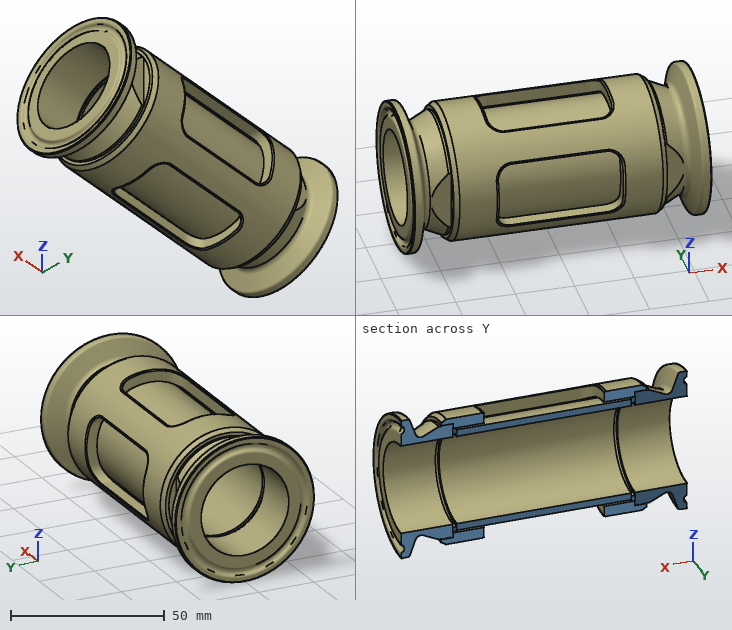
import cadquery as cq
import math


total_length = 100.0
bore_radius = 15.9

flange_diameter = 50.5
rim_rounding = 1.0
face_edge_chamfer = 0.3
back_cone_angle = 20.0
neck_position = 7.1
neck_radius = 18.0
neck_rounding = 2.0
flare_angle = 25.0
flare_rounding = 1.5
hub_radius = 20.7
ferrule_length = 18.2

groove_radius = 21.7
groove_arc_radius = 1.3
groove_depth = 1.2
groove_edge_rounding = 0.8

housing_radius = 23.0
housing_position = 14.1
housing_bore_radius = 19.0
end_chamfer_length = 1.7
end_chamfer_depth = 1.1
window_length = 41.8
window_width = 23.2
window_corner_radius = 4.8
window_chamfer_width = 0.7
window_chamfer_depth = 0.3
window_count = 4

seal_thickness = 1.3
seal_bore_radius = 17.0
glass_radius = 18.5

half_length = total_length / 2
flange_radius = flange_diameter / 2
housing_half_length = half_length - housing_position
socket_floor = half_length - ferrule_length
glass_half_length = socket_floor - seal_thickness


def tube(start, length, outer_radius, inner_radius):
    """Plain ring along X, starting at x = start."""
    return cq.Workplane("YZ", origin=(start, 0, 0)).circle(outer_radius).circle(inner_radius).extrude(length)


def revolve_around_x(profile):
    """Solid of revolution from a closed outline in the XZ plane, drawn as (x, radius)."""
    return profile.revolve(360, (0, 0, 0), (1, 0, 0))


def make_housing_blank():
    """Chamfered sleeve whose bore widens at both ends into sockets for the ferrule hubs."""
    chamfer_end = housing_half_length - end_chamfer_length
    face_radius = housing_radius - end_chamfer_depth
    profile = (
        cq.Workplane("XZ")
        .moveTo(-housing_half_length, hub_radius)
        .lineTo(-housing_half_length, face_radius)
        .lineTo(-chamfer_end, housing_radius)
        .lineTo(chamfer_end, housing_radius)
        .lineTo(housing_half_length, face_radius)
        .lineTo(housing_half_length, hub_radius)
        .lineTo(socket_floor, hub_radius)
        .lineTo(socket_floor, housing_bore_radius)
        .lineTo(-socket_floor, housing_bore_radius)
        .lineTo(-socket_floor, hub_radius)
        .close()
    )
    return revolve_around_x(profile)


def make_window_cutter():
    """Rounded rectangular prism that cuts the window on the +Z side."""
    return (
        cq.Workplane("XY")
        .rect(window_length, window_width)
        .extrude(2 * housing_radius)
        .edges("|Z")
        .fillet(window_corner_radius)
    )


def make_housing():
    window_pitch = 360 / window_count
    housing = make_housing_blank().rotate((0, 0, 0), (1, 0, 0), window_pitch / 2)
    cutter = make_window_cutter()
    for index in range(window_count):
        housing = housing.cut(cutter.rotate((0, 0, 0), (1, 0, 0), index * window_pitch))

    outside = max(housing.faces().vals(), key=lambda face: face.Area())
    rim_edges = [edge for wire in outside.innerWires() for edge in wire.Edges()]
    return housing.newObject(rim_edges).chamfer(window_chamfer_width, window_chamfer_depth)


def make_ferrule_blank():
    """Ferrule at the -X end, before the flats and the gasket groove."""
    back_turn = math.radians(90 - back_cone_angle)
    flare_turn = math.radians(flare_angle)

    cone_end_x = neck_position - neck_rounding * math.sin(back_turn)
    cone_end_radius = neck_radius + neck_rounding * (1 - math.cos(back_turn))
    cone_start_radius = flange_radius - rim_rounding * (1 - math.cos(back_turn))
    cone_start_x = cone_end_x - (cone_start_radius - cone_end_radius) / math.tan(back_turn)
    rim_end_x = cone_start_x - rim_rounding * math.sin(back_turn)
    flare_start_x = neck_position + flare_rounding * math.sin(flare_turn)
    flare_start_radius = neck_radius + flare_rounding * (1 - math.cos(flare_turn))
    flare_end_x = flare_start_x + (hub_radius - flare_start_radius) / math.tan(flare_turn)

    profile = (
        cq.Workplane("XZ", origin=(-half_length, 0, 0))
        .moveTo(0, bore_radius)
        .lineTo(0, flange_radius - face_edge_chamfer)
        .lineTo(face_edge_chamfer, flange_radius)
        .lineTo(rim_end_x, flange_radius)
        .tangentArcPoint((cone_start_x, cone_start_radius), relative=False)
        .lineTo(cone_end_x, cone_end_radius)
        .tangentArcPoint((neck_position, neck_radius), relative=False)
        .tangentArcPoint((flare_start_x, flare_start_radius), relative=False)
        .lineTo(flare_end_x, hub_radius)
        .lineTo(ferrule_length, hub_radius)
        .lineTo(ferrule_length, bore_radius)
        .close()
    )
    return revolve_around_x(profile)


def cut_wrench_flats(ferrule):
    """Two flats, on +Y and -Y, tangent to the neck and ending at the housing face."""
    flat_length = housing_position - neck_position
    flat_center_x = neck_position + flat_length / 2 - half_length
    cutter_depth = hub_radius
    for side in (-1, 1):
        cutter = cq.Workplane("XY").box(flat_length, cutter_depth, 2 * hub_radius)
        ferrule = ferrule.cut(cutter.translate((flat_center_x, side * (neck_radius + cutter_depth / 2), 0)))
    return ferrule


def cut_gasket_groove(ferrule):
    """Round-bottomed ring groove in the outer face, with rounded edges."""
    arc_center_x = groove_depth - groove_arc_radius - half_length
    ring = cq.Solid.makeTorus(
        groove_radius, groove_arc_radius, cq.Vector(arc_center_x, 0, 0), cq.Vector(1, 0, 0)
    )
    ferrule = ferrule.cut(cq.Workplane(ring))
    groove_edges = [
        edge
        for edge in ferrule.faces("<X").edges().vals()
        if abs(edge.radius() - groove_radius) < groove_arc_radius + groove_edge_rounding
    ]
    return ferrule.newObject(groove_edges).fillet(groove_edge_rounding)


def make_ferrule():
    return cut_gasket_groove(cut_wrench_flats(make_ferrule_blank()))


def make_seal():
    """Flat ring at the -X end, between the ferrule and the glass tube."""
    return tube(-socket_floor, seal_thickness, housing_bore_radius, seal_bore_radius)


def make_glass():
    return tube(-glass_half_length, 2 * glass_half_length, glass_radius, bore_radius)


housing = make_housing()
glass = make_glass()
end_bodies = []
for end_body in (make_ferrule(), make_seal()):
    end_bodies.append(end_body.val())
    end_bodies.append(end_body.mirror("YZ").val())

result = cq.Compound.makeCompound([housing.val(), glass.val(), *end_bodies])